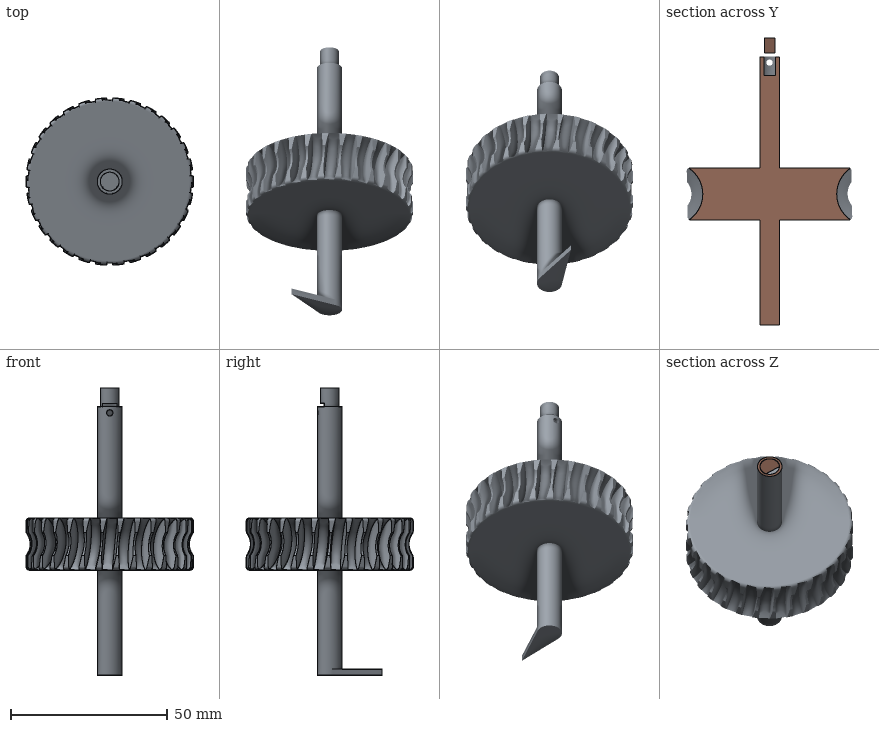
import cadquery as cq
import math

shaft_radius = 4.0
shaft_length = 86.0
screw_hole_diameter = 2.0
screw_hole_drop = 2.0
pointer_reach = 16.8
pointer_thickness = 2.0

pin_radius = 3.0
pin_projection = 6.0
socket_depth = 6.0
flat_y = -1.8
flat_projection = 1.0

tooth_count = 30
wheel_radius = 26.8
wheel_width = 16.8
wheel_center_z = 42.0
rim_fillet = 1.2
throat_radius = 25.5
worm_axis_distance = 31.5
worm_clearance_radius = worm_axis_distance - throat_radius

gap_outer_radius = 9.85
gap_inner_radius = 5.0
gap_floor_width = 3.2
gap_flank_angle = 11.0
gap_lead_angle = 5.5


def make_shaft():
    """Plain round bar standing on Z = 0."""
    return cq.Workplane("XY").circle(shaft_radius).extrude(shaft_length)


def make_socket():
    """Round socket for the drive pin, sunk into the upper end of the shaft."""
    return (
        cq.Workplane("XY", origin=(0, 0, shaft_length - socket_depth))
        .circle(pin_radius)
        .extrude(socket_depth)
    )


def make_screw_hole():
    """Radial hole from the -Y side of the shaft into the socket."""
    return (
        cq.Workplane("XZ", origin=(0, 0, shaft_length - screw_hole_drop))
        .circle(screw_hole_diameter / 2)
        .extrude(shaft_radius)
    )


def make_pointer():
    """Triangular arm whose two edges run from the tip to tangency with the shaft."""
    tangent_y = shaft_radius**2 / pointer_reach
    tangent_x = math.sqrt(shaft_radius**2 - tangent_y**2)
    return (
        cq.Workplane("XY")
        .polyline([(0, 0), (tangent_x, tangent_y), (0, pointer_reach), (-tangent_x, tangent_y)])
        .close()
        .extrude(pointer_thickness)
    )


def make_wheel_blank():
    """Rounded-edge disc with a worm throat around its rim, centred on Z = 0."""
    disc = cq.Workplane("XY").circle(wheel_radius).extrude(wheel_width / 2, both=True)
    disc = disc.faces("|Z").edges().fillet(rim_fillet)
    throat = (
        cq.Workplane("XZ")
        .center(worm_axis_distance, 0)
        .circle(worm_clearance_radius)
        .revolve(360, (-worm_axis_distance, 0), (-worm_axis_distance, 1))
    )
    return disc.cut(throat)


def make_gap_cutter():
    """Ring with a tapered section, turned about the worm axis and tilted by the lead angle."""
    half_floor = gap_floor_width / 2
    flare = (gap_outer_radius - gap_inner_radius) * math.tan(math.radians(gap_flank_angle))
    half_mouth = half_floor + flare
    floor_y = gap_outer_radius - worm_axis_distance
    mouth_y = gap_inner_radius - worm_axis_distance
    ring = (
        cq.Workplane("XY")
        .polyline([
            (-half_floor, floor_y),
            (half_floor, floor_y),
            (half_mouth, mouth_y),
            (-half_mouth, mouth_y),
        ])
        .close()
        .revolve(360, (0, -worm_axis_distance), (1, -worm_axis_distance))
    )
    return ring.rotate((0, 0, 0), (0, 1, 0), gap_lead_angle)


def make_wheel():
    """Worm wheel with evenly spaced tooth gaps, the first one facing -Y."""
    cutter = make_gap_cutter()
    pitch_angle = 360 / tooth_count
    cutters = [
        cutter.rotate((0, 0, 0), (0, 0, 1), index * pitch_angle).val()
        for index in range(tooth_count)
    ]
    wheel = make_wheel_blank().cut(cq.Workplane(cq.Compound.makeCompound(cutters)))
    return wheel.translate((0, 0, wheel_center_z))


def make_wheel_shaft():
    """Worm wheel, shaft and pointer in one piece, with the socket and screw hole for the drive pin."""
    body = make_shaft().union(make_wheel()).union(make_pointer())
    return body.cut(make_socket()).cut(make_screw_hole())


def make_drive_pin():
    """Round pin seated in the socket, with a flat along its lower length on the -Y side."""
    pin_bottom_z = shaft_length - socket_depth
    flat_length = socket_depth + flat_projection
    pin = (
        cq.Workplane("XY", origin=(0, 0, pin_bottom_z))
        .circle(pin_radius)
        .extrude(socket_depth + pin_projection)
    )
    flat_depth = pin_radius + flat_y
    flat_cut = cq.Workplane("XY", origin=(0, flat_y - flat_depth / 2, pin_bottom_z)).box(
        2 * pin_radius, flat_depth, flat_length, centered=(True, True, False)
    )
    return pin.cut(flat_cut)


wheel_shaft = make_wheel_shaft()
drive_pin = make_drive_pin()
result = cq.Compound.makeCompound([wheel_shaft.solids().val(), drive_pin.solids().val()])